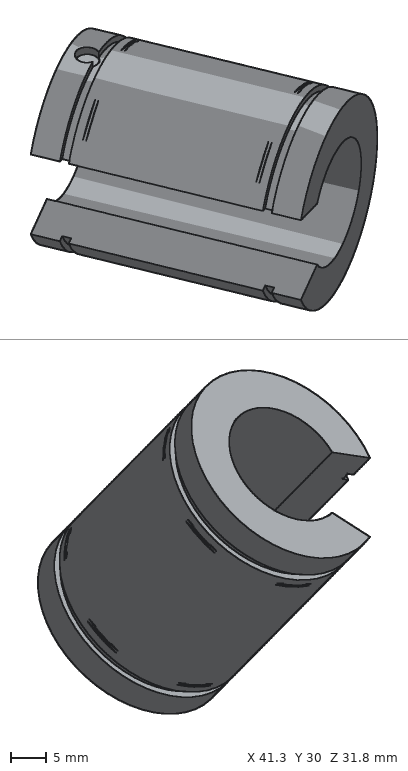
import cadquery as cq
import math

length = 41.25
outer_diameter = 31.75
outer_radius = outer_diameter / 2
bore_radius = 9.55

flank_angle = 15.0
flank_height_at_axis = 3.45

collar_length = 4.45
groove_width = 1.35
groove_depth = 0.95

first_pad_angle = 52.0
pad_spacing = 60.0
pad_count = 5
seat_half_angle = 11.0
seat_length = 26.95
pad_end_gap = 0.5
crown_half_angle = 3.7
crown_sag = 0.05

hole_diameter = 3.5
hole_offset = 3.15
hole_depth = 1.35


def tube(outer, inner, start, width):
    """Ring along X from start to start + width."""
    return cq.Workplane("YZ").workplane(offset=start).circle(outer).circle(inner).extrude(width)


def polar(degrees, radius=outer_radius):
    """YZ point at the given radius; angle runs from -Y toward +Z."""
    angle = math.radians(degrees)
    return (-radius * math.cos(angle), radius * math.sin(angle))


def opening():
    """Tapered slot that breaks through the -Y wall."""
    reach = 2 * outer_radius
    mouth = flank_height_at_axis + reach * math.tan(math.radians(flank_angle))
    outline = [
        (0, -flank_height_at_axis),
        (0, flank_height_at_axis),
        (-reach, mouth),
        (-reach, -mouth),
    ]
    return cq.Workplane("YZ").polyline(outline).close().extrude(length)


def pad_seat(center_angle):
    """Cutter for the round segment above the flat seat."""
    start = (length - seat_length) / 2
    return (
        cq.Workplane("YZ")
        .workplane(offset=start)
        .moveTo(*polar(center_angle - seat_half_angle))
        .threePointArc(polar(center_angle), polar(center_angle + seat_half_angle))
        .close()
        .extrude(seat_length)
    )


def pad(center_angle):
    """Pad with two flat flanks and a shallow hollow crown, leaving a gap at each seat end."""
    span = seat_length - 2 * pad_end_gap
    hollow_radius = outer_radius * math.cos(math.radians(crown_half_angle)) - crown_sag
    return (
        cq.Workplane("YZ")
        .workplane(offset=(length - span) / 2)
        .moveTo(*polar(center_angle - seat_half_angle))
        .lineTo(*polar(center_angle - crown_half_angle))
        .threePointArc(polar(center_angle, hollow_radius), polar(center_angle + crown_half_angle))
        .lineTo(*polar(center_angle + seat_half_angle))
        .close()
        .extrude(span)
    )


result = tube(outer_radius, bore_radius, 0, length)

for groove_start in (collar_length, length - collar_length - groove_width):
    result = result.cut(tube(outer_radius, outer_radius - groove_depth, groove_start, groove_width))

result = result.cut(opening())

for index in range(pad_count):
    pad_angle = first_pad_angle + index * pad_spacing
    result = result.cut(pad_seat(pad_angle)).union(pad(pad_angle))

hole = (
    cq.Workplane("XY")
    .workplane(offset=outer_radius - hole_depth)
    .center(hole_offset, 0)
    .circle(hole_diameter / 2)
    .extrude(2 * hole_depth)
)
result = result.cut(hole)